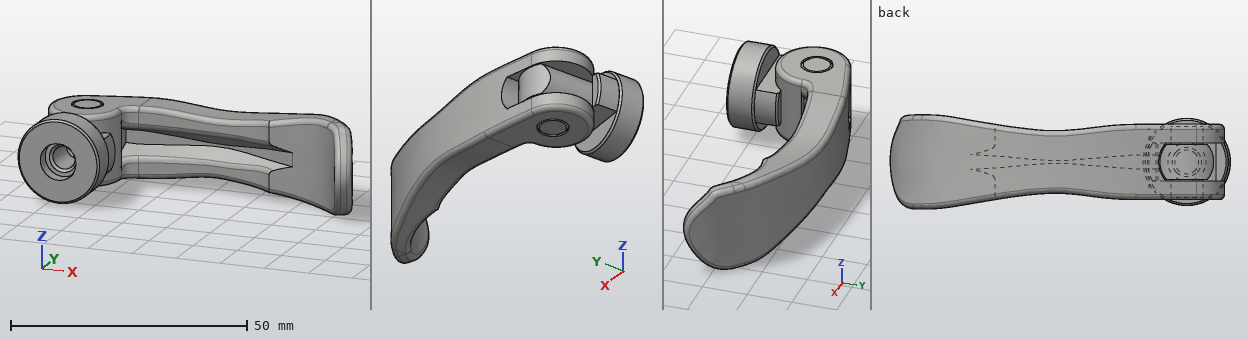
import cadquery as cq
import math


HEAD_RADIUS = 8.0
HEAD_OFFSET = 0.8
HEAD_HALF_WIDTH = 8.0
EDGE_FILLET = 1.15

BACK_POINTS = [(9.7, 10.0), (18.0, 11.1), (26.25, 11.4), (34.55, 10.8), (41.0, 9.4), (47.5, 7.5),
               (52.75, 5.4), (56.85, 2.45), (60.45, -1.7)]
BACK_END = (63.75, -10.7)
BACK_END_DIRECTION = (0.3, -1)
BACK_RISE_START = (-2.3, 6.8)
THUMB_FACE_START = (60.3, -10.6)
THUMB_FACE_POINTS = [(59.2, -8.1), (58.0, -5.1), (55.4, -1.6), (52.75, 0.4), (48.9, 1.9), (45.3, 2.2)]
RIDGE_END = (40.6, 1.6)
RIDGE_END_DIRECTION = (-1, 0.52)
RIDGE_POINTS = [(33.1, 2.95), (26.6, 3.45), (20.15, 3.2)]
NECK = (10.95, 1.6)
NECK_DIRECTION = (-1, -0.3)

WAIST = (26.85, 6.6)
SHOULDER = (40.6, 8.0)
FLARE = (47.35, 9.15)
THUMB_START = 55.4
THUMB_HALF_WIDTH = 10.0

BLADE_ORIGIN = (54.7, 0, 0)
BLADE_DIRECTION = (0.42, -0.91, 0)
BLADE_NORMAL = (0.91, 0.42, 0)
BLADE_ROUND_START = 0.6
BLADE_ROUND = [(5.75, 8.4), (9.0, 5.05)]
BLADE_END = 10.95

GROOVE_MOUTH_Y = -0.7
GROOVE_SECTIONS = [(6.5, 5.75, 1.45, 3.95), (16.55, 6.5, 1.1, 5.25), (26.85, 6.5, 0.3, 6.9),
                   (36.0, 5.05, 0.85, 5.9), (47.5, 1.65, 1.6, 3.6)]
RIDGE_FILLET = 1.45

PIN_RADIUS = 3.4
PIN_CHAMFER = 0.5
STEM_RADIUS = 5.7
STEM_HALF_THICKNESS = 3.75
STEM_END_RADIUS = 7.3
THREAD_RADIUS = 2.5
THREAD_MOUTH_RADIUS = 3.1
THREAD_TIP_Y = -4.3
DRILL_HALF_ANGLE = math.radians(60)

WASHER_RADIUS = 9.245
WASHER_BOTTOM = -17.2
WASHER_TOP = -11.0
TONGUE_TOP = -5.9
TONGUE_RADIUS = 8.74
TONGUE_HALF_THICKNESS = 3.99
BASE_CHAMFER = 0.4
BORE_RADIUS = 4.0
BORE_DEPTH = 2.9

SLOT_HALF_WIDTH = TONGUE_HALF_THICKNESS
SLOT_WALL_RADIUS = STEM_RADIUS + 0.3

REACH = 28.8
FAR = 107.9


def rod_along_y(radius, bottom, top):
    return cq.Workplane("XZ", origin=(0, top, 0)).circle(radius).extrude(top - bottom)


def rod_along_z(radius, half_length, y=0.0):
    return cq.Workplane("XY").center(0, y).circle(radius).extrude(half_length, both=True)


def slab(half_thickness):
    return cq.Workplane("XY").box(2 * REACH, 2 * REACH, 2 * half_thickness)


def mirrored(points):
    """The same points on the other side of the middle plane, in reverse order."""
    return [(along, -across) for along, across in reversed(points)]



def side_profile():
    head_right = (HEAD_RADIUS, -HEAD_OFFSET)
    rise = math.atan2(BACK_POINTS[0][1] - BACK_RISE_START[1], BACK_POINTS[0][0] - BACK_RISE_START[0])
    head_top = (-HEAD_RADIUS * math.sin(rise), HEAD_RADIUS * math.cos(rise) - HEAD_OFFSET)
    diagonal = HEAD_RADIUS * math.sqrt(0.5)
    head_lower_left = (-diagonal, -diagonal - HEAD_OFFSET)
    back_directions = [(math.cos(rise), math.sin(rise)), BACK_END_DIRECTION]
    return (
        cq.Workplane("XY", origin=(0, 0, -REACH))
        .moveTo(*head_right)
        .threePointArc(head_lower_left, head_top)
        .spline(BACK_POINTS + [BACK_END], tangents=back_directions, includeCurrent=True)
        .lineTo(*THUMB_FACE_START)
        .spline(THUMB_FACE_POINTS + [RIDGE_END], includeCurrent=True)
        .spline(RIDGE_POINTS + [NECK], tangents=[RIDGE_END_DIRECTION, NECK_DIRECTION], includeCurrent=True)
        .spline([head_right], tangents=[NECK_DIRECTION, (0, -1)], includeCurrent=True)
        .close()
        .extrude(2 * REACH)
    )


def width_outline():
    neck_side = (NECK[0], HEAD_HALF_WIDTH)
    thumb_side = (THUMB_START, THUMB_HALF_WIDTH)
    flank = [WAIST, SHOULDER, FLARE]
    return (
        cq.Workplane("XZ", origin=(0, REACH, 0))
        .moveTo(-REACH, -HEAD_HALF_WIDTH)
        .lineTo(-REACH, HEAD_HALF_WIDTH)
        .lineTo(*neck_side)
        .spline(flank + [thumb_side], tangents=[(1, 0), (1, 0)], includeCurrent=True)
        .lineTo(FAR, THUMB_HALF_WIDTH)
        .lineTo(FAR, -THUMB_HALF_WIDTH)
        .lineTo(THUMB_START, -THUMB_HALF_WIDTH)
        .spline(mirrored([neck_side] + flank), tangents=[(-1, 0), (-1, 0)], includeCurrent=True)
        .close()
        .extrude(2 * REACH)
    )


def blade_outline():
    round_start = (BLADE_ROUND_START, THUMB_HALF_WIDTH)
    one_side = [round_start] + BLADE_ROUND
    tip = (BLADE_END, 0)
    blade_plane = cq.Plane(origin=BLADE_ORIGIN, xDir=BLADE_DIRECTION, normal=BLADE_NORMAL)
    return (
        cq.Workplane(blade_plane)
        .workplane(offset=-FAR)
        .moveTo(-FAR, -THUMB_HALF_WIDTH)
        .lineTo(-FAR, THUMB_HALF_WIDTH)
        .lineTo(*round_start)
        .spline(BLADE_ROUND + [tip] + mirrored(one_side), tangents=[(1, 0), (-1, 0)], includeCurrent=True)
        .close()
        .extrude(2 * FAR)
    )


def underside_groove():
    sections = cq.Workplane("YZ")
    previous_x = 0.0
    for x, floor_y, floor_half_width, mouth_half_width in GROOVE_SECTIONS:
        sections = (
            sections.workplane(offset=x - previous_x)
            .moveTo(GROOVE_MOUTH_Y, -mouth_half_width)
            .lineTo(floor_y, -floor_half_width)
            .lineTo(floor_y, floor_half_width)
            .lineTo(GROOVE_MOUTH_Y, mouth_half_width)
            .close()
        )
        previous_x = x
    return sections.loft()


def ridge_edges():
    """Selects the two groove mouth edges, whose middles lie near the waist of the underside."""
    x = WAIST[0]
    y = RIDGE_POINTS[1][1]
    half_box = (4.3, 1.45, 4.3)
    low = (x - half_box[0], y - half_box[1], -half_box[2])
    high = (x + half_box[0], y + half_box[1], half_box[2])
    return cq.selectors.BoxSelector(low, high)


def head_slot():
    """Open towards -X; the far wall is a cylinder around the stem."""
    round_wall = rod_along_y(SLOT_WALL_RADIUS, -REACH, REACH)
    opening = cq.Workplane("XY").box(REACH, 2 * REACH, 2 * REACH).translate((-REACH / 2, 0, 0))
    return round_wall.union(opening).intersect(slab(SLOT_HALF_WIDTH))


def make_lever():
    body = side_profile().intersect(width_outline()).intersect(blade_outline()).clean()
    body = body.edges("not |Z").fillet(EDGE_FILLET)
    body = body.cut(underside_groove())
    body = body.edges(ridge_edges()).fillet(RIDGE_FILLET)
    body = body.cut(head_slot())
    return body.cut(rod_along_z(PIN_RADIUS, HEAD_HALF_WIDTH))



def washer():
    return rod_along_y(WASHER_RADIUS, WASHER_BOTTOM, WASHER_TOP).edges().chamfer(BASE_CHAMFER)


def tongue():
    """Round block with two flats and a saddle that the cam head rests in."""
    block = rod_along_y(TONGUE_RADIUS, WASHER_TOP, TONGUE_TOP).faces(">Y").chamfer(BASE_CHAMFER)
    saddle = rod_along_z(HEAD_RADIUS, HEAD_HALF_WIDTH, -HEAD_OFFSET)
    return block.intersect(slab(TONGUE_HALF_THICKNESS)).cut(saddle)


def stem():
    """Round shank with two flats, its upper end rounded about the pivot."""
    shank = rod_along_y(STEM_RADIUS, WASHER_TOP, STEM_END_RADIUS).intersect(slab(STEM_HALF_THICKNESS))
    below_pivot = cq.Workplane("XY").box(REACH, REACH, REACH).translate((0, -REACH / 2, 0))
    rounded_end = rod_along_z(STEM_END_RADIUS, STEM_HALF_THICKNESS)
    return shank.intersect(rounded_end.union(below_pivot))


def pivot_pin():
    return rod_along_z(PIN_RADIUS, HEAD_HALF_WIDTH).edges().chamfer(PIN_CHAMFER)


def threaded_hole(mouth_y):
    countersink_y = mouth_y + THREAD_MOUTH_RADIUS - THREAD_RADIUS
    cone_y = THREAD_TIP_Y - THREAD_RADIUS / math.tan(DRILL_HALF_ANGLE)
    return (
        cq.Workplane("XY")
        .moveTo(0, mouth_y)
        .lineTo(THREAD_MOUTH_RADIUS, mouth_y)
        .lineTo(THREAD_RADIUS, countersink_y)
        .lineTo(THREAD_RADIUS, cone_y)
        .lineTo(0, THREAD_TIP_Y)
        .close()
        .revolve(360, (0, 0), (0, 1))
    )


def make_clamp_base():
    bore_top = WASHER_BOTTOM + BORE_DEPTH
    body = washer().union(tongue()).union(stem()).union(pivot_pin())
    body = body.cut(rod_along_y(BORE_RADIUS, WASHER_BOTTOM, bore_top))
    return body.cut(threaded_hole(bore_top))


lever = make_lever().solids()
clamp_base = make_clamp_base().solids()
result = cq.Compound.makeCompound([lever.val(), clamp_base.val()])